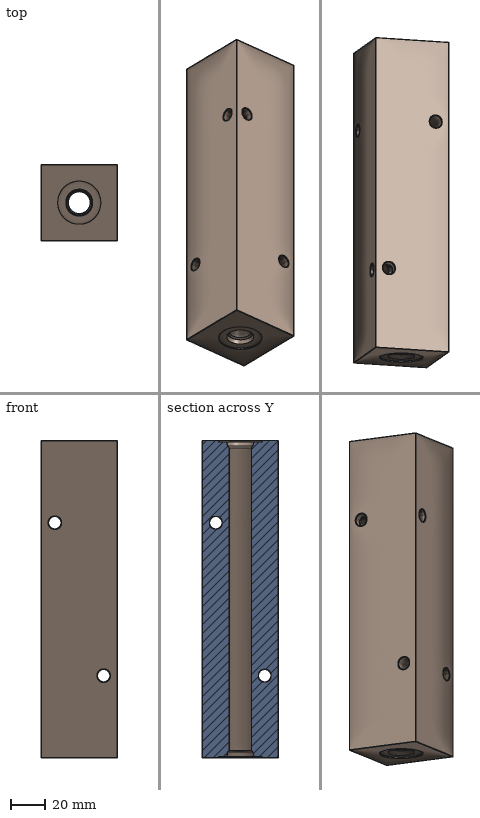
import cadquery as cq
import math

height = 184.2
width = 44.4
edge_chamfer = 0.22

bore_diameter = 12.7
port_mouth_diameter = 15.7
port_taper_angle = 12.0
port_taper_depth = 2.5
port_step_angle = 45.0
spotface_diameter = 25.0
spotface_depth = 0.7

mount_diameter = 7.2
mount_chamfer = 0.4
mount_side_offset = 14.2
mount_height_offset = width


def port_cutter():
    """Spotface, tapered seat and conical step down to the bore, opening at the top face."""
    bore_radius = bore_diameter / 2
    mouth_radius = port_mouth_diameter / 2
    seat_radius = mouth_radius - port_taper_depth * math.tan(math.radians(port_taper_angle))
    step_depth = (seat_radius - bore_radius) / math.tan(math.radians(port_step_angle))
    spotface_radius = spotface_diameter / 2
    top = height / 2
    spotface_floor = top - spotface_depth
    step_top = spotface_floor - port_taper_depth
    step_bottom = step_top - step_depth
    return (
        cq.Workplane("XZ")
        .moveTo(0, top)
        .lineTo(spotface_radius, top)
        .lineTo(spotface_radius, spotface_floor)
        .lineTo(mouth_radius, spotface_floor)
        .lineTo(seat_radius, step_top)
        .lineTo(bore_radius, step_bottom)
        .lineTo(0, step_bottom)
        .close()
        .revolve(360, (0, 0, 0), (0, 1, 0))
    )


def mounting_hole_cutter():
    """Through hole along Z with a chamfered mouth at each end, centred on the origin."""
    radius = mount_diameter / 2
    mouth_radius = radius + mount_chamfer
    half_length = width / 2
    return (
        cq.Workplane("XZ")
        .moveTo(0, -half_length)
        .lineTo(mouth_radius, -half_length)
        .lineTo(radius, mount_chamfer - half_length)
        .lineTo(radius, half_length - mount_chamfer)
        .lineTo(mouth_radius, half_length)
        .lineTo(0, half_length)
        .close()
        .revolve(360, (0, 0, 0), (0, 1, 0))
        .val()
    )


def mounting_hole_pair(plane, upper_offset):
    """One high and one low hole normal to the plane, on opposite sides of its centre line."""
    upper = (upper_offset, mount_height_offset)
    lower = (-upper_offset, -mount_height_offset)
    hole = mounting_hole_cutter()
    return cq.Workplane(plane).pushPoints([upper, lower]).eachpoint(hole, useLocalCoordinates=True)


block = cq.Workplane("XY").box(width, width, height).edges().chamfer(edge_chamfer)
bore = cq.Workplane("XY").circle(bore_diameter / 2).extrude(height, both=True)
top_port = port_cutter()
bottom_port = top_port.mirror("XY")

result = (
    block.cut(bore)
    .cut(top_port)
    .cut(bottom_port)
    .cut(mounting_hole_pair("XZ", -mount_side_offset))
    .cut(mounting_hole_pair("YZ", mount_side_offset))
)